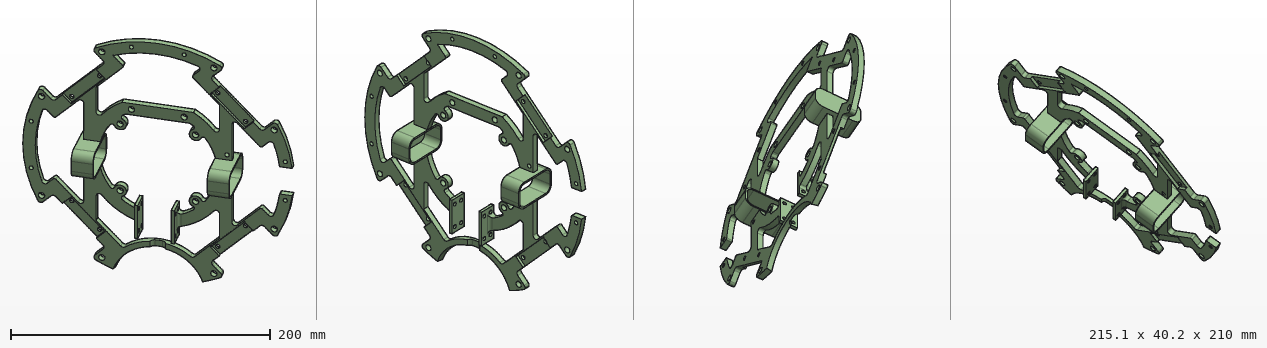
import cadquery as cq
import math

OVERALL_WIDTH = 215.1
PLATE = 5.2
CUT_DEPTH = 129.0
MARGIN = 2.2
HALF_DIAGONAL = math.sqrt(0.5)

GAP_HALF = 12.3
RING_R = (OVERALL_WIDTH + GAP_HALF**2 / OVERALL_WIDTH) / 2
RING_INNER_R = 97.9
RING_HOLE_R = 103.3
RING_HOLE_D = 3.2
RING_HOLE_OFFSET = 21.0
GAP_HOLE_OFFSET = 17.5

BAR_IN = 77.5
BAR_OUT = 88.6
FOOT_OUTER_ALONG = 29.3
FOOT_INNER_ALONG = 39.2
FOOT_HOLE_OFFSET = (44.7, 93.0)
FOOT_HOLE_D = 5.0
LAP_HALF = 19.1
LAP_IN = 78.7
LAP_DEPTH = 2.5
LAP_HOLE_ALONG = 15.7
LAP_HOLE_OUT = 82.5
LAP_HOLE_D = 3.5

POST_IN = 49.3
POST_OUT = 59.2
FRAME_R = 57.7
FRAME_INNER_R = 47.3
FRAME_TOP = 50.1
FRAME_INNER_TOP = 39.8
FRAME_HOLE = (21.0, 44.7)
FRAME_HOLE_D = 5.0
LUG_OFFSET = 30.1
LUG_D = 10.1
LUG_HOLE_D = 5.0
POST_HOLE = (55.3, 16.1)
POST_HOLE_D = 3.5

ARCH_Z = -114.2
ARCH_R = 42.8
ARCH_FRONT_R = 37.9
ARCH_BACK_R = 36.8
GROOVE_WIDTH = 12.3
GROOVE_DEPTH = 2.5
GROOVE_FILLET = 3.2

FLANGE_IN = 13.3
FLANGE_T = 2.5
FLANGE_OUT = FLANGE_IN + FLANGE_T
FLANGE_H = 30.0
FLANGE_Z = -50.0
FLANGE_W = 15.0
FLANGE_HOLE_D = 3.2
FLANGE_HOLE_PITCH_Y = 7.7
FLANGE_HOLE_PITCH_Z = 20.0
FLANGE_FILLET = 2.5

SLEEVE_IN = 45.6
SLEEVE_LENGTH = 17.5
SLEEVE_H = 23.2
SLEEVE_W = 40.2
SLEEVE_FRONT = -22.5
SLEEVE_CORNER = 7.0
SLEEVE_WALL = 1.5

FILLET = 2.5
TIP_FILLET = 1.5
LUG_FILLET = 2.0
GAP_FILLET = 1.0

SIDES = (-1, 1)
QUADRANTS = [(sx, sz) for sx in SIDES for sz in SIDES]


def face_plane(y=0.0):
    """XZ sketch plane at the given y; it faces -Y, so negative extrusions go toward +Y."""
    return cq.Workplane("XZ", origin=(0, y, 0))


def slab(sketch, depth=PLATE):
    return sketch.extrude(-depth)


def disc(radius, x=0.0, z=0.0):
    return slab(face_plane().center(x, z).circle(radius))


def block(x0, x1, z0, z1):
    return slab(face_plane().center((x0 + x1) / 2, (z0 + z1) / 2).rect(x1 - x0, z1 - z0))


def drill(points, diameter):
    return face_plane(-CUT_DEPTH / 2).pushPoints(points).circle(diameter / 2).extrude(-CUT_DEPTH)


def bar_point(sx, sz, along, out):
    """Point on a diagonal bar; positive "along" leads toward the top or bottom."""
    return (sx * (out - along) * HALF_DIAGONAL, sz * (out + along) * HALF_DIAGONAL)


def bar_polygon(sx, sz, corners, depth=PLATE):
    points = [bar_point(sx, sz, along, out) for along, out in corners]
    return slab(face_plane().polyline(points).close(), depth)


def leg(hypotenuse, other_leg):
    return math.sqrt(hypotenuse**2 - other_leg**2)


def round_corners(body, points, radius):
    """Fillet the plate-thickness edges that stand at the given XZ points."""
    edges = []
    for x, z in points:
        spot = (x, PLATE / 2, z)
        edges += body.edges("|Y").edges(cq.NearestToPointSelector(spot)).vals()
    return body.newObject(edges).fillet(radius)


def make_outer_ring():
    ring = disc(RING_R).cut(disc(RING_INNER_R))
    for sx, sz in QUADRANTS:
        ring = ring.union(bar_polygon(sx, sz, [
            (-FOOT_INNER_ALONG, BAR_IN),
            (FOOT_INNER_ALONG, BAR_IN),
            (FOOT_INNER_ALONG, RING_INNER_R),
            (-FOOT_INNER_ALONG, RING_INNER_R),
        ]))
    for sx, sz in QUADRANTS:
        ring = ring.cut(bar_polygon(sx, sz, [
            (-FOOT_OUTER_ALONG, BAR_OUT),
            (FOOT_OUTER_ALONG, BAR_OUT),
            (FOOT_OUTER_ALONG, RING_R + MARGIN),
            (-FOOT_OUTER_ALONG, RING_R + MARGIN),
        ]))
    return ring.cut(block(0, RING_R + MARGIN, -GAP_HALF, GAP_HALF))


def make_inner_frame():
    frame = disc(FRAME_R).intersect(block(-FRAME_R, FRAME_R, -FRAME_R, FRAME_TOP))
    cavity = disc(FRAME_INNER_R).intersect(block(-FRAME_R, FRAME_R, -FRAME_R, FRAME_INNER_TOP))
    post_half = BAR_IN / HALF_DIAGONAL - POST_IN
    post_outer_half = (BAR_IN + LAP_IN) / 2 / HALF_DIAGONAL - POST_OUT
    for side in SIDES:
        frame = frame.union(slab(face_plane().polyline([
            (side * POST_IN, -post_half),
            (side * POST_OUT, -post_outer_half),
            (side * POST_OUT, post_outer_half),
            (side * POST_IN, post_half),
        ]).close()))
    frame = frame.cut(cavity)
    for sx, sz in QUADRANTS:
        frame = frame.union(disc(LUG_D / 2, sx * LUG_OFFSET, sz * LUG_OFFSET))
    return frame.cut(block(-FLANGE_IN, FLANGE_IN, -FRAME_R - MARGIN, 0))


def add_arch(body):
    arch = disc(ARCH_R, 0, ARCH_Z).intersect(disc(RING_R))
    taper = cq.Workplane(cq.Solid.makeCone(
        ARCH_FRONT_R, ARCH_BACK_R, PLATE, pnt=cq.Vector(0, 0, ARCH_Z), dir=cq.Vector(0, 1, 0)))
    return body.union(arch).cut(taper)


def round_outer_ring(body):
    notches = []
    foot_tips = []
    foot_corners = []
    for sx, sz in QUADRANTS:
        for end in SIDES:
            notches.append(bar_point(sx, sz, end * FOOT_OUTER_ALONG, BAR_OUT))
            notches.append(bar_point(sx, sz, end * FOOT_OUTER_ALONG, leg(RING_R, FOOT_OUTER_ALONG)))
            if (end, sz) == (1, -1):
                continue
            foot_tips.append(bar_point(sx, sz, end * FOOT_INNER_ALONG, BAR_IN))
            if (sx, sz, end) != (-1, 1, 1):
                corner_out = leg(RING_INNER_R, FOOT_INNER_ALONG)
                foot_corners.append(bar_point(sx, sz, end * FOOT_INNER_ALONG, corner_out))
    gap_corners = [(leg(RING_INNER_R, GAP_HALF), sz * GAP_HALF) for sz in SIDES]
    body = round_corners(body, notches + foot_corners, FILLET)
    body = round_corners(body, foot_tips, TIP_FILLET)
    return round_corners(body, gap_corners, GAP_FILLET)


def round_inner_frame(body):
    arch_offset = -ARCH_Z * HALF_DIAGONAL
    arch_along = arch_offset - leg(ARCH_R, arch_offset - BAR_IN)
    corners = [bar_point(sx, -1, arch_along, BAR_IN) for sx in SIDES]
    for sx, sz in QUADRANTS:
        corners.append((sx * POST_IN, sz * leg(FRAME_R, POST_IN)))
        corners.append((sx * POST_OUT, sz * (BAR_IN / HALF_DIAGONAL - POST_OUT)))
    body = round_corners(body, corners, FILLET)

    lug_distance = math.hypot(LUG_OFFSET, LUG_OFFSET)
    lug_angle = math.acos(
        (FRAME_INNER_R**2 + lug_distance**2 - (LUG_D / 2)**2) / (2 * FRAME_INNER_R * lug_distance))
    necks = []
    for sx, sz in QUADRANTS:
        for turn in SIDES:
            angle = math.pi / 4 + turn * lug_angle
            necks.append((sx * FRAME_INNER_R * math.cos(angle), sz * FRAME_INNER_R * math.sin(angle)))
    top_corners = [(sx * leg(FRAME_INNER_R, FRAME_INNER_TOP), FRAME_INNER_TOP) for sx in SIDES]
    return round_corners(body, necks + top_corners, LUG_FILLET)


def cut_laps(body):
    for sx, sz in QUADRANTS:
        body = body.cut(bar_polygon(sx, sz, [
            (-LAP_HALF, LAP_IN),
            (LAP_HALF, LAP_IN),
            (LAP_HALF, BAR_OUT + MARGIN),
            (-LAP_HALF, BAR_OUT + MARGIN),
        ], LAP_DEPTH))
    return body


def cut_holes(body):
    hole_x, hole_z = FOOT_HOLE_OFFSET
    feet = []
    laps = []
    lugs = []
    for sx, sz in QUADRANTS:
        feet += [(sx * hole_x, sz * hole_z), (sx * hole_z, sz * hole_x)]
        laps += [bar_point(sx, sz, end * LAP_HOLE_ALONG, LAP_HOLE_OUT) for end in SIDES]
        lugs.append((sx * LUG_OFFSET, sz * LUG_OFFSET))
    ring_reach = leg(RING_HOLE_R, RING_HOLE_OFFSET)
    ring = []
    frame_top = []
    posts = []
    for side in SIDES:
        ring.append((side * RING_HOLE_OFFSET, ring_reach))
        ring.append((-ring_reach, side * RING_HOLE_OFFSET))
        ring.append((leg(RING_HOLE_R, GAP_HOLE_OFFSET), side * GAP_HOLE_OFFSET))
        frame_top.append((side * FRAME_HOLE[0], FRAME_HOLE[1]))
        posts.append((POST_HOLE[0], side * POST_HOLE[1]))
    for points, diameter in (
        (feet, FOOT_HOLE_D),
        (laps, LAP_HOLE_D),
        (lugs, LUG_HOLE_D),
        (ring, RING_HOLE_D),
        (frame_top, FRAME_HOLE_D),
        (posts, POST_HOLE_D),
    ):
        body = body.cut(drill(points, diameter))
    return body


def cut_groove(body):
    """Shallow groove with rounded floor corners across the front of the arch crown."""
    depth = 2 * GROOVE_FILLET
    groove = (
        cq.Workplane("XY")
        .box(GROOVE_WIDTH, depth, 2 * (ARCH_R - ARCH_BACK_R))
        .edges("|Z and >Y")
        .fillet(GROOVE_FILLET)
        .translate((0, GROOVE_DEPTH - depth / 2, ARCH_Z + ARCH_R))
    )
    return body.cut(groove)


def add_flange(body, side):
    centre_y = PLATE - FLANGE_W / 2
    flange = (
        cq.Workplane("YZ", origin=(side * FLANGE_IN, centre_y, FLANGE_Z))
        .rect(FLANGE_W, FLANGE_H)
        .extrude(side * FLANGE_T)
    )
    body = body.union(flange)
    arm_z = [-leg(FRAME_INNER_R, FLANGE_OUT), -leg(FRAME_R, FLANGE_OUT)]
    spots = [(side * FLANGE_OUT, PLATE / 2, z) for z in arm_z]
    spots.append((side * FLANGE_OUT, 0, sum(arm_z) / 2))
    joint = []
    for spot in spots:
        joint += body.edges(cq.NearestToPointSelector(spot)).vals()
    body = body.newObject(joint).fillet(FLANGE_FILLET)
    holes = (
        cq.Workplane("YZ", origin=(side * FLANGE_IN, centre_y, FLANGE_Z))
        .rarray(FLANGE_HOLE_PITCH_Y, FLANGE_HOLE_PITCH_Z, 2, 2)
        .circle(FLANGE_HOLE_D / 2)
        .extrude(side * FLANGE_T)
    )
    return body.cut(holes)


def sleeve_bar(x, length, inset=0.0):
    """Rounded bar along +X from x, smaller by inset all round."""
    return (
        cq.Workplane("YZ", origin=(x, SLEEVE_FRONT + SLEEVE_W / 2, 0))
        .rect(SLEEVE_W - 2 * inset, SLEEVE_H - 2 * inset)
        .extrude(length)
        .edges("|X")
        .fillet(SLEEVE_CORNER - inset)
    )


def add_sleeves(body):
    left = -SLEEVE_IN - SLEEVE_LENGTH
    for start in (left, SLEEVE_IN):
        body = body.union(sleeve_bar(start, SLEEVE_LENGTH))
    body = body.cut(sleeve_bar(SLEEVE_IN, SLEEVE_LENGTH, SLEEVE_WALL))
    return body.cut(sleeve_bar(left + SLEEVE_WALL, SLEEVE_LENGTH - SLEEVE_WALL, SLEEVE_WALL))


plate = make_outer_ring().union(make_inner_frame())
plate = add_arch(plate)
plate = round_outer_ring(plate)
plate = round_inner_frame(plate)
for flange_side in SIDES:
    plate = add_flange(plate, flange_side)
plate = cut_laps(plate)
plate = cut_groove(plate)
plate = cut_holes(plate)
result = add_sleeves(plate)